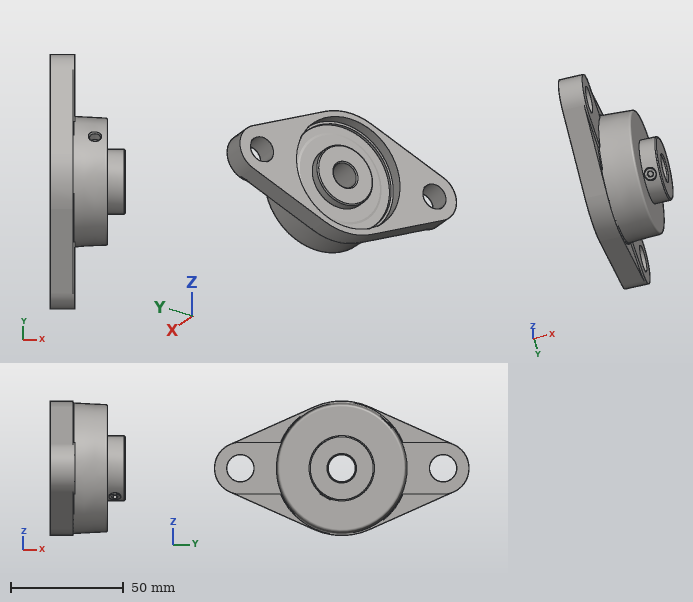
import cadquery as cq
import math

length = 113.0
flange_width = 59.8
overall_depth = 33.3

flange_thickness = 10.1
pad_thickness = 11.0
ear_radius = 11.5
mount_hole_diameter = 12.0
ear_offset = length / 2 - ear_radius
flange_radius = flange_width / 2

housing_end = 25.5
housing_base_radius = 29.0
housing_tip_radius = 28.2
housing_edge_fillet = 1.0
housing_root_fillet = 0.5

recess_diameter = 54.0
recess_depth = 5.6
seat_diameter = 51.8
seat_depth = 7.1
seal_base_radius = 21.9
seal_tip_radius = 20.9
seal_height = 0.2

ring_diameter = 29.0
ring_start = 2.4
bore_diameter = 12.0
ring_chamfer = 0.6

grease_hole_diameter = 5.0
grease_mouth_diameter = 6.0
grease_mouth_depth = 0.9
grease_hole_depth = 4.5
grease_hole_x = 19.9
grease_hole_angle = 45

screw_diameter = 6.0
screw_tip_radius = 14.7
screw_chamfer = 0.5
set_screw_x = 28.7
set_screw_angle = 240
socket_width = 2.5
socket_depth = 2.3
socket_turn = 30


def disc(diameter, start, end):
    """Cylinder along X between two X positions."""
    return cq.Workplane("YZ", origin=(start, 0, 0)).circle(diameter / 2).extrude(end - start)


def make_flange():
    """Oval plate: a central arc and two ear arcs joined by tangent lines."""
    sine = (flange_radius - ear_radius) / ear_offset
    cosine = math.sqrt(1 - sine**2)
    center_y, center_z = flange_radius * sine, flange_radius * cosine
    ear_y, ear_z = ear_offset + ear_radius * sine, ear_radius * cosine
    plate = (
        cq.Workplane("YZ")
        .moveTo(-center_y, center_z)
        .threePointArc((0, flange_radius), (center_y, center_z))
        .lineTo(ear_y, ear_z)
        .threePointArc((length / 2, 0), (ear_y, -ear_z))
        .lineTo(center_y, -center_z)
        .threePointArc((0, -flange_radius), (-center_y, -center_z))
        .lineTo(-ear_y, -ear_z)
        .threePointArc((-length / 2, 0), (-ear_y, ear_z))
        .close()
        .extrude(flange_thickness)
    )
    pad_height = pad_thickness - flange_thickness
    pad_base = cq.Workplane("YZ", origin=(flange_thickness, 0, 0))
    pad = pad_base.slot2D(length, 2 * ear_radius).extrude(pad_height)
    return plate.union(pad)


def make_housing():
    """Slightly tapered drum with a rounded rim and a small root fillet."""
    root_x = flange_thickness + housing_root_fillet
    root_radius = housing_base_radius + housing_root_fillet
    arc_offset = housing_root_fillet * (1 - math.sqrt(0.5))
    return (
        cq.Workplane("XY")
        .lineTo(0, housing_base_radius)
        .lineTo(flange_thickness, housing_base_radius)
        .lineTo(flange_thickness, root_radius)
        .threePointArc(
            (flange_thickness + arc_offset, housing_base_radius + arc_offset),
            (root_x, housing_base_radius),
        )
        .lineTo(housing_end, housing_tip_radius)
        .lineTo(housing_end, 0)
        .close()
        .revolve(360, (0, 0, 0), (1, 0, 0))
        .faces(">X")
        .edges()
        .fillet(housing_edge_fillet)
    )


def make_seal():
    """Low conical step standing on the floor of the recess."""
    return (
        cq.Workplane("YZ", origin=(seat_depth, 0, 0))
        .circle(seal_base_radius)
        .workplane(offset=-seal_height)
        .circle(seal_tip_radius)
        .loft()
    )


def turn(shape, angle):
    """Swing a shape built along +Y about the shaft axis, toward +Z."""
    return shape.rotate((0, 0, 0), (1, 0, 0), angle)


def grease_hole():
    """Cutter for the grease port, starting at the tapered housing surface."""
    taper = (housing_base_radius - housing_tip_radius) / (housing_end - flange_thickness)
    surface = housing_base_radius - taper * (grease_hole_x - flange_thickness)
    hole_radius = grease_hole_diameter / 2
    mouth_radius = grease_mouth_diameter / 2
    mouth_bottom = surface - grease_mouth_depth
    cutter = (
        cq.Workplane("XY")
        .moveTo(0, surface - grease_hole_depth)
        .lineTo(hole_radius, surface - grease_hole_depth)
        .lineTo(hole_radius, mouth_bottom)
        .lineTo(mouth_radius, surface)
        .lineTo(mouth_radius, surface + grease_mouth_depth)
        .lineTo(0, surface + grease_mouth_depth)
        .close()
        .revolve(360, (0, 0, 0), (0, 1, 0))
    )
    return turn(cutter.translate((grease_hole_x, 0, 0)), grease_hole_angle)


def screw_head():
    """Chamfered outer end of the set screw, reaching into the ring wall."""
    root_radius = (ring_diameter + bore_diameter) / 4
    head = (
        cq.Workplane("XZ", origin=(set_screw_x, screw_tip_radius, 0))
        .circle(screw_diameter / 2)
        .extrude(screw_tip_radius - root_radius)
        .faces(">Y")
        .chamfer(screw_chamfer)
    )
    return turn(head, set_screw_angle)


def screw_socket():
    """Hexagonal key socket in the end of the set screw."""
    socket = (
        cq.Workplane("XZ", origin=(set_screw_x, screw_tip_radius, 0))
        .transformed(rotate=(0, 0, socket_turn))
        .polygon(6, socket_width, circumscribed=True)
        .extrude(socket_depth)
    )
    return turn(socket, set_screw_angle)


body = make_flange().union(make_housing())
body = body.cut(disc(recess_diameter, 0, recess_depth)).cut(disc(seat_diameter, 0, seat_depth))
body = body.union(make_seal())

ring = disc(ring_diameter, ring_start, overall_depth)
bore = disc(bore_diameter, ring_start, overall_depth)
ring = ring.cut(bore).faces("<X or >X").chamfer(ring_chamfer)
body = body.cut(disc(ring_diameter, ring_start, overall_depth)).union(ring)

for side in (-1, 1):
    mount_hole = disc(mount_hole_diameter, 0, pad_thickness).translate((0, side * ear_offset, 0))
    body = body.cut(mount_hole)

body = body.cut(grease_hole())

body = body.union(screw_head())
body = body.cut(screw_socket())

result = body